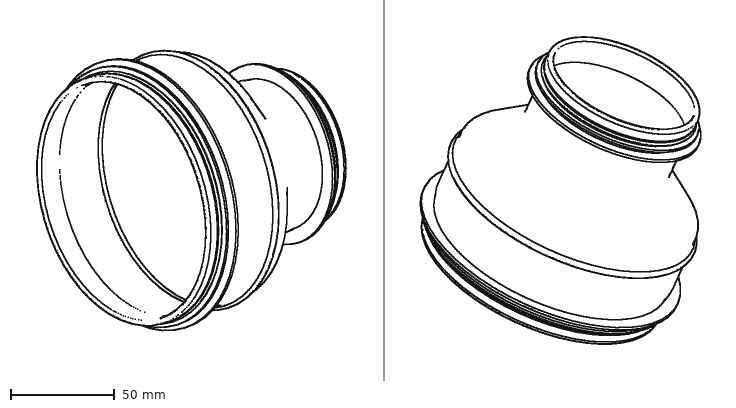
import cadquery as cq
import math

total_length = 111.0
wall = 0.47

wide_radius = 62.05
narrow_radius = 38.12
wide_groove_radius = 59.63
narrow_groove_radius = 37.1

hem_height = 2.4
hem_edge = 6.0
inner_fold_radius = 1.1
outer_fold_radius = hem_height + wall - inner_fold_radius

groove_end = 8.7
wide_knee_radius = 60.8
wide_knee = 14.5
wide_taper_end = 20.2
narrow_knee_radius = 37.71
narrow_knee = 17.5
narrow_taper_end = 19.4

bead_center = 42.8
bead_half_width = 3.5
bead_neck_half_width = 1.82
bead_neck_rise = 1.0
bead_height = 2.4
bead_flare_sag = 0.3

shoulder_start = 50.1
shoulder_bend = 2.4
neck_end = 74.8
neck_bend = 4.0

seal_base_height = hem_height - wall
seal_base_start = outer_fold_radius
rib_center = 7.5
rib_half_width = 0.7
rib_height = 3.1
lip_start = 9.1
lip_end = 10.4
lip_height = 5.1
flange_start = 13.0
flange_end = 14.5
flange_height = 7.6

bend_offset_radial = (wide_radius - shoulder_bend) - (narrow_radius + neck_bend)
bend_offset_axial = neck_end - shoulder_start
cone_angle = math.atan2(bend_offset_radial, bend_offset_axial) + math.asin(
    (shoulder_bend + neck_bend) / math.hypot(bend_offset_radial, bend_offset_axial)
)

full_turn = 360


def revolve_profile(profile):
    """Revolve a closed radius/axis profile about the duct axis."""
    return profile.close().revolve(full_turn, (0, 0, 0), (0, 1, 0))


def bend_point(center_radius, center_axial, signed_radius, angle):
    """Point on a bend; a negative radius puts it on the side facing the axis."""
    return (
        center_radius + signed_radius * math.cos(angle),
        center_axial + signed_radius * math.sin(angle),
    )


def draw_bead(profile, inset):
    """Roll the stop bead, going from the wide end toward the narrow end."""
    base = wide_radius - inset
    half_width = bead_half_width - inset
    neck_half_width = bead_neck_half_width - inset
    neck = base + bead_neck_rise
    flare_mid_radius = base + bead_neck_rise / 2 - bead_flare_sag
    flare_mid_offset = (half_width + neck_half_width) / 2
    return (
        profile.lineTo(base, bead_center - half_width)
        .threePointArc((flare_mid_radius, bead_center - flare_mid_offset), (neck, bead_center - neck_half_width))
        .threePointArc((base + bead_height, bead_center), (neck, bead_center + neck_half_width))
        .threePointArc((flare_mid_radius, bead_center + flare_mid_offset), (base, bead_center + half_width))
    )


def draw_cone(profile, inset):
    """Bend inward at the shoulder, run down the cone and bend back into the narrow tube."""
    shoulder = (wide_radius - shoulder_bend, shoulder_start, shoulder_bend - inset)
    neck = (narrow_radius + neck_bend, neck_end, -(neck_bend + inset))
    return (
        profile.lineTo(*bend_point(*shoulder, 0))
        .threePointArc(bend_point(*shoulder, cone_angle / 2), bend_point(*shoulder, cone_angle))
        .lineTo(*bend_point(*neck, cone_angle))
        .threePointArc(bend_point(*neck, cone_angle / 2), bend_point(*neck, 0))
    )


def make_filled_tube(inset):
    """Reducer between the hems, filled to its surface moved inward by inset."""
    narrow_end = total_length - outer_fold_radius
    profile = (
        cq.Workplane("XY")
        .moveTo(0, outer_fold_radius)
        .lineTo(wide_groove_radius - inset, outer_fold_radius)
        .lineTo(wide_groove_radius - inset, groove_end)
        .lineTo(wide_knee_radius - inset, wide_knee)
        .lineTo(wide_radius - inset, wide_taper_end)
    )
    profile = draw_bead(profile, inset)
    profile = draw_cone(profile, inset)
    profile = (
        profile.lineTo(narrow_radius - inset, total_length - narrow_taper_end)
        .lineTo(narrow_knee_radius - inset, total_length - narrow_knee)
        .lineTo(narrow_groove_radius - inset, total_length - groove_end)
        .lineTo(narrow_groove_radius - inset, narrow_end)
        .lineTo(0, narrow_end)
    )
    return revolve_profile(profile)


def make_hem(groove_radius, end_position, inward):
    """Folded rim of one end; inward is +1 or -1 along Y, away from the tube end."""
    fold_radius = groove_radius - wall + inner_fold_radius
    rim_radius = groove_radius + hem_height
    diagonal = math.sqrt(0.5)

    def at(radius, distance):
        return (radius, end_position + inward * distance)

    def inner_fold_middle(radius):
        return at(fold_radius - radius * diagonal, inner_fold_radius - radius * diagonal)

    def outer_fold_middle(radius):
        return at(fold_radius + radius * diagonal, outer_fold_radius - radius * diagonal)

    profile = (
        cq.Workplane("XY")
        .moveTo(*at(groove_radius - wall, outer_fold_radius))
        .lineTo(*at(groove_radius - wall, inner_fold_radius))
        .threePointArc(inner_fold_middle(inner_fold_radius), at(fold_radius, 0))
        .threePointArc(outer_fold_middle(outer_fold_radius), at(rim_radius, outer_fold_radius))
        .lineTo(*at(rim_radius, hem_edge))
        .lineTo(*at(rim_radius - wall, hem_edge))
        .lineTo(*at(rim_radius - wall, outer_fold_radius))
        .threePointArc(outer_fold_middle(outer_fold_radius - wall), at(fold_radius, wall))
        .threePointArc(inner_fold_middle(inner_fold_radius - wall), at(groove_radius, inner_fold_radius))
        .lineTo(*at(groove_radius, outer_fold_radius))
    )
    return revolve_profile(profile)


def make_reducer():
    """Thin-walled reducer with a hem on each open end."""
    return (
        make_filled_tube(0)
        .cut(make_filled_tube(wall))
        .union(make_hem(wide_groove_radius, 0, 1))
        .union(make_hem(narrow_groove_radius, total_length, -1))
    )


def make_seal(groove_radius, knee_radius, knee, end_position, inward):
    """Lip seal in one groove, its base tucked under the hem.

    inward is +1 or -1 along Y, away from the tube end.
    """

    def at(height, distance):
        return (groove_radius + height, end_position + inward * distance)

    taper_slope = (knee_radius - groove_radius) / (knee - groove_end)
    heel_height = taper_slope * (flange_end - groove_end)
    profile = (
        cq.Workplane("XY")
        .moveTo(*at(0, seal_base_start))
        .lineTo(*at(seal_base_height, seal_base_start))
        .lineTo(*at(seal_base_height, rib_center - rib_half_width))
        .threePointArc(at(rib_height, rib_center), at(seal_base_height, rib_center + rib_half_width))
        .lineTo(*at(seal_base_height, lip_start))
        .lineTo(*at(lip_height, lip_start))
        .lineTo(*at(lip_height, lip_end))
        .lineTo(*at(seal_base_height, lip_end))
        .lineTo(*at(seal_base_height, flange_start))
        .lineTo(*at(flange_height, flange_start))
        .lineTo(*at(flange_height, flange_end))
        .lineTo(*at(heel_height, flange_end))
        .lineTo(*at(0, groove_end))
    )
    return revolve_profile(profile)


reducer = make_reducer()

seal_places = [
    (wide_groove_radius, wide_knee_radius, wide_knee, 0, 1),
    (narrow_groove_radius, narrow_knee_radius, narrow_knee, total_length, -1),
]
seals = [make_seal(*place) for place in seal_places]

bodies = [body.translate((0, -total_length / 2, 0)) for body in [reducer, *seals]]

result = cq.Compound.makeCompound([body.solids().val() for body in bodies])